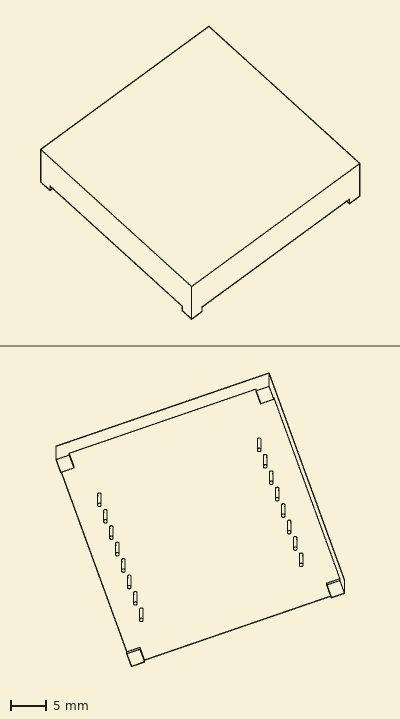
import cadquery as cq

side = 32.0
housing_height = 8.0
foot_width = 2.0
foot_height = 1.1

dots_per_side = 8
dot_pitch = side / dots_per_side
dot_diameter = 3.0
dot_depth = 1.6

total_height = 13.0
pin_diameter = 0.5
pins_per_row = 8
pin_row_count = 2
pin_row_length = 17.8
pin_pitch = pin_row_length / (pins_per_row - 1)
pin_row_spacing = 24.0

underside_z = foot_height
pin_tip_z = housing_height - total_height


def make_housing():
    """Square block whose underside is relieved to leave a foot at each corner."""
    block = cq.Workplane("XY").box(side, side, housing_height, centered=(True, True, False))
    gap = side - 2 * foot_width
    relief_along_x = cq.Workplane("XY").box(side, gap, foot_height, centered=(True, True, False))
    relief_along_y = cq.Workplane("XY").box(gap, side, foot_height, centered=(True, True, False))
    return block.cut(relief_along_x).cut(relief_along_y)


def make_pins():
    """Two rows of round pins reaching from the underside to the pin tips."""
    return (
        cq.Workplane("XY", origin=(0, 0, pin_tip_z))
        .rarray(pin_pitch, pin_row_spacing, pins_per_row, pin_row_count)
        .circle(pin_diameter / 2)
        .extrude(underside_z - pin_tip_z)
    )


def make_dots():
    """Square grid of round inserts ending level with the top face."""
    return (
        cq.Workplane("XY", origin=(0, 0, housing_height))
        .rarray(dot_pitch, dot_pitch, dots_per_side, dots_per_side)
        .circle(dot_diameter / 2)
        .extrude(-dot_depth)
    )


body = make_housing().union(make_pins())

dots = make_dots()
result = body.cut(dots).union(dots, clean=False)